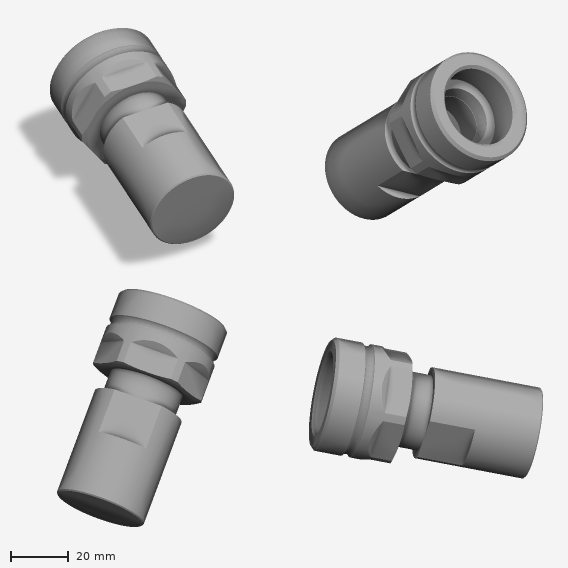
import cadquery as cq

length = 75.0
nut_diameter = 40.0
nut_radius = nut_diameter / 2
neck_radius = 13.3
body_radius = 16.05

groove_start = 10.35
groove_bottom = 12.0
groove_end = 13.65
nut_end = 27.7
body_start = 36.2

mouth_chamfer = 1.05
groove_depth = 1.0
nut_chamfer_length = 0.5
nut_end_radius = 18.15
tail_chamfer = 0.45

hex_apothem = 18.0
hex_flat_start = 19.5
hex_ramp_start = 16.95

wrench_apothem = 13.5
wrench_end = 52.35

socket_radius = 13.95
socket_depth = 12.4
seat_mouth_radius = 10.65
seat_end_radius = 9.6
seat_end = 17.25
well_radius = 9.45
well_floor = 27.0
pin_radius = 1.6
pin_length = 9.0


def outer_body():
    """Revolved outside shape: nut, neck and body."""
    groove_radius = nut_radius - groove_depth
    return (
        cq.Workplane("XY")
        .moveTo(0, 0)
        .lineTo(0, nut_radius - mouth_chamfer)
        .lineTo(mouth_chamfer, nut_radius)
        .lineTo(groove_start, nut_radius)
        .threePointArc((groove_bottom, groove_radius), (groove_end, nut_radius))
        .lineTo(nut_end - nut_chamfer_length, nut_radius)
        .lineTo(nut_end, nut_end_radius)
        .lineTo(nut_end, neck_radius)
        .lineTo(body_start, neck_radius)
        .lineTo(body_start, body_radius)
        .lineTo(length - tail_chamfer, body_radius)
        .lineTo(length, body_radius - tail_chamfer)
        .lineTo(length, 0)
        .close()
        .revolve(360, (0, 0, 0), (1, 0, 0))
    )


def hex_flat_cutter(angle):
    """Prism that cuts one hexagon flat and the ramp leading to it."""
    return (
        cq.Workplane("XZ")
        .moveTo(hex_ramp_start, nut_radius)
        .lineTo(hex_flat_start, hex_apothem)
        .lineTo(nut_end, hex_apothem)
        .lineTo(nut_end, nut_radius)
        .close()
        .extrude(nut_radius, both=True)
        .rotate((0, 0, 0), (1, 0, 0), angle)
    )


def wrench_flat_cutter(side):
    """Block that cuts the wrench flat on the +Z or -Z side."""
    thickness = body_radius - wrench_apothem
    return (
        cq.Workplane("XY")
        .box(wrench_end - body_start, 2 * body_radius, thickness, centered=(False, True, True))
        .translate((body_start, 0, side * (wrench_apothem + thickness / 2)))
    )


def bore():
    """Revolved cavity with a centre pin left standing on its floor."""
    return (
        cq.Workplane("XY")
        .moveTo(0, 0)
        .lineTo(0, socket_radius + mouth_chamfer)
        .lineTo(mouth_chamfer, socket_radius)
        .lineTo(socket_depth, socket_radius)
        .lineTo(socket_depth, seat_mouth_radius)
        .lineTo(seat_end, seat_end_radius)
        .lineTo(seat_end, well_radius)
        .lineTo(well_floor, well_radius)
        .lineTo(well_floor, pin_radius)
        .lineTo(well_floor - pin_length, pin_radius)
        .lineTo(well_floor - pin_length, 0)
        .close()
        .revolve(360, (0, 0, 0), (1, 0, 0))
    )


result = outer_body()
for flat in range(6):
    result = result.cut(hex_flat_cutter(flat * 60))
for side in (1, -1):
    result = result.cut(wrench_flat_cutter(side))
result = result.cut(bore())